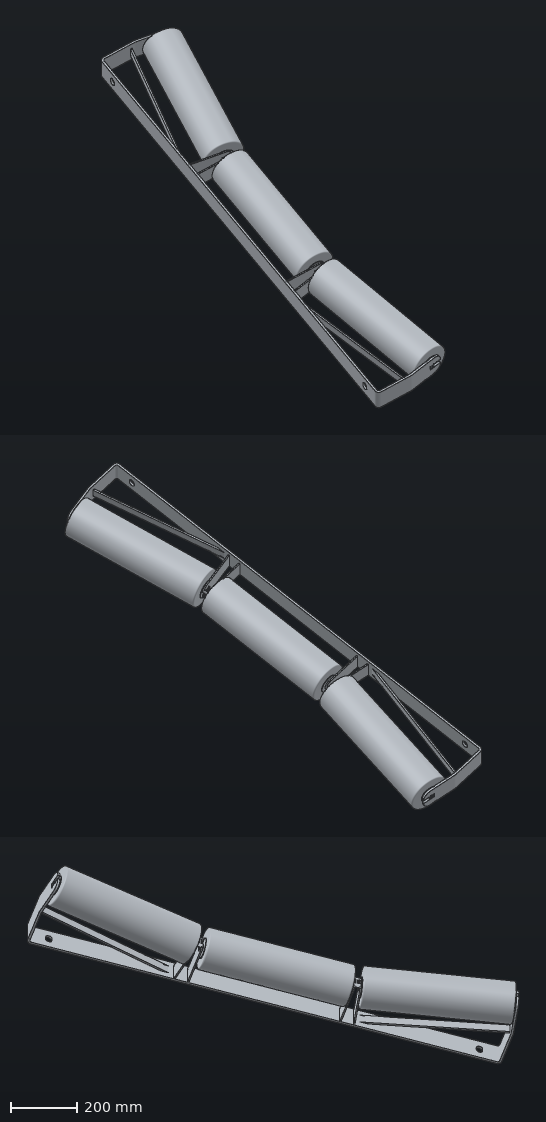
import cadquery as cq
import math


roller_length = 465.0
roller_diameter = 133.0
rim_fillet = 5.0
hub_diameter = 63.0
hub_height = 2.0
trough_angle = 10
lead_angle = 1

shaft_width = 15.0
shaft_depth = 18.0
shaft_overhang = 9.0
slot_overhang = 14.0

wing_x = 498.0
wing_y = 169.0
level_y = 124.0
lead_drop = roller_length * math.sin(math.radians(lead_angle))
wing_z = -lead_drop / 2
level_z = -lead_drop

frame_length = 1510.0
strip_width = 79.0
strip_thickness = 8.0
bend_radius = 14.0
lean_radius = 30.0
end_bend_y = 125.0
end_tip_y = 243.0
end_tip_fillet = 27.0

bracket_thickness = 5.0
bracket_top_y = 148.0
bracket_width = strip_width - 2 * lead_drop
bracket_tip_fillet = 18.0
bracket_leg_x = 240.0
bracket_foot_x = 288.0
brace_thickness = 6.0
brace_width = 33.0
brace_wall_y = 113.0
brace_foot_x = 305.0

hole_x = 685.0
hole_width = 20.0
hole_height = 27.0

half_length = frame_length / 2
trough_slope = math.tan(math.radians(trough_angle))


def strip(points, width):
    """Extrude a closed XY outline to a strip centred on Z = 0."""
    return cq.Workplane("XY", origin=(0, 0, -width / 2)).polyline(points).close().extrude(width)


def mirrored_pair(shape):
    """Join a right-hand shape with its mirror image across the YZ plane."""
    return shape.union(shape.mirror("YZ"))


def place_wing(shape, side):
    """Move a shape from the roller's own axes (X along the shaft) to a wing position."""
    return (
        shape.rotate((0, 0, 0), (0, 1, 0), -side * lead_angle)
        .rotate((0, 0, 0), (0, 0, 1), side * trough_angle)
        .translate((side * wing_x, wing_y, wing_z))
    )


def place_level(shape):
    """Move a shape from the roller's own axes to the level position."""
    return shape.translate((0, level_y, level_z))


def centred_cylinder(diameter, length):
    """Cylinder along X, centred on the origin."""
    return cq.Workplane("YZ", origin=(-length / 2, 0, 0)).circle(diameter / 2).extrude(length)


def make_roller():
    """Roller with rounded rims, a raised hub on each end and a flat-sided shaft."""
    hub_length = roller_length + 2 * hub_height
    shell = centred_cylinder(roller_diameter, roller_length).edges().fillet(rim_fillet)
    hub = centred_cylinder(hub_diameter, hub_length)
    shaft_length = roller_length + 2 * shaft_overhang
    shaft = cq.Workplane("XY").box(shaft_length, shaft_depth, shaft_width)
    return shell.union(hub).union(shaft)


def make_shaft_slots():
    """Cutter that opens a slot around both shaft ends, running out towards +Y."""
    slot_reach = roller_diameter
    slot_length = roller_length + 2 * slot_overhang
    return cq.Workplane("XY").box(slot_length, slot_reach, shaft_width).translate(
        (0, (slot_reach - shaft_depth) / 2, 0)
    )


def make_base():
    """Base strip with its ends bent up and then leaned inwards to carry the wing rollers."""
    tip_x = half_length - (end_tip_y - end_bend_y) * trough_slope
    cos_trough = math.cos(math.radians(trough_angle))
    sin_trough = math.sin(math.radians(trough_angle))
    inner_tip = (tip_x - strip_thickness * cos_trough, end_tip_y - strip_thickness * sin_trough)
    inner_x = half_length - strip_thickness
    inner_bend_y = end_bend_y - strip_thickness * math.tan(math.radians(trough_angle / 2))
    outline = [
        (0, 0),
        (half_length, 0),
        (half_length, end_bend_y),
        (tip_x, end_tip_y),
        inner_tip,
        (inner_x, inner_bend_y),
        (inner_x, strip_thickness),
        (0, strip_thickness),
    ]
    half = strip(outline, strip_width)
    corner_rounds = [
        ((half_length, 0, 0), bend_radius),
        ((inner_x, strip_thickness, 0), bend_radius - strip_thickness),
        ((half_length, end_bend_y, 0), lean_radius),
        ((inner_x, inner_bend_y, 0), lean_radius - strip_thickness),
    ]
    for z in (-strip_width / 2, strip_width / 2):
        corner_rounds.append(((tip_x - strip_thickness / 2, end_tip_y, z), end_tip_fillet))
    for corner, radius in corner_rounds:
        half = half.edges(cq.selectors.NearestToPointSelector(corner)).fillet(radius)
    return mirrored_pair(half)


def make_bracket():
    """Inner bracket: a straight leg, a bridge and a leg square to the wing roller axis."""
    leg_rise = bracket_top_y - strip_thickness
    shoulder_x = bracket_foot_x - leg_rise * trough_slope
    leg_width_x = bracket_thickness / math.cos(math.radians(trough_angle))
    under_bridge_y = bracket_top_y - bracket_thickness
    inner_shoulder_x = shoulder_x + bracket_thickness * trough_slope - leg_width_x
    outline = [
        (bracket_leg_x, strip_thickness),
        (bracket_leg_x, bracket_top_y),
        (shoulder_x, bracket_top_y),
        (bracket_foot_x, strip_thickness),
        (bracket_foot_x - leg_width_x, strip_thickness),
        (inner_shoulder_x, under_bridge_y),
        (bracket_leg_x + bracket_thickness, under_bridge_y),
        (bracket_leg_x + bracket_thickness, strip_thickness),
    ]
    rounded_face = (
        cq.Workplane("XY")
        .box(bracket_foot_x, bracket_top_y, bracket_width, centered=(False, False, True))
        .edges("|X and >Y")
        .fillet(bracket_tip_fillet)
    )
    return strip(outline, bracket_width).intersect(rounded_face).translate((0, 0, level_z))


def make_brace():
    """Narrow diagonal strip from the base strip to the bent-up end."""
    wall_x = half_length - strip_thickness
    brace_angle = math.atan2(brace_wall_y - strip_thickness, wall_x - brace_foot_x)
    outline = [
        (brace_foot_x, strip_thickness),
        (wall_x, brace_wall_y),
        (wall_x, brace_wall_y - brace_thickness / math.cos(brace_angle)),
        (brace_foot_x + brace_thickness / math.sin(brace_angle), strip_thickness),
    ]
    return strip(outline, brace_width)


def make_frame():
    """Welded frame: base, brackets and braces, with mounting holes and shaft slots cut."""
    frame = make_base().union(mirrored_pair(make_bracket())).union(mirrored_pair(make_brace()))
    holes = (
        cq.Workplane("XZ")
        .pushPoints([(-hole_x, 0), (hole_x, 0)])
        .slot2D(hole_height, hole_width, 90)
        .extrude(-strip_thickness)
    )
    slots = make_shaft_slots()
    frame = frame.cut(holes).cut(place_level(slots))
    for side in (-1, 1):
        frame = frame.cut(place_wing(slots, side))
    return frame


frame = make_frame()
level_roller = place_level(make_roller())
wing_rollers = [place_wing(make_roller(), side) for side in (-1, 1)]

result = cq.Compound.makeCompound(
    [frame.val(), level_roller.val(), *[roller.val() for roller in wing_rollers]]
)